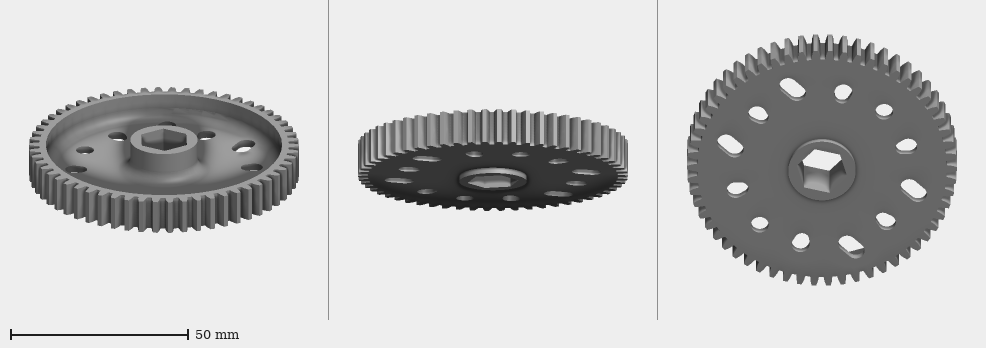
import cadquery as cq
import math

outer_diameter = 76.2
tooth_count = 58
pressure_angle = math.radians(14.5)
dedendum_factor = 1.25
root_fillet = 0.3
flank_steps = 4

module = outer_diameter / (tooth_count + 2)
tip_radius = outer_diameter / 2
pitch_radius = module * tooth_count / 2
base_radius = pitch_radius * math.cos(pressure_angle)
root_radius = pitch_radius - dedendum_factor * module

face_width = 9.5
rim_inner_diameter = 66.7
web_thickness = 2.1
hub_length = 12.65
hub_diameter = 19.05
pocket_fillet = 3.2
hex_across_flats = 12.7

rim_top = face_width / 2
rim_bottom = -rim_top
web_top = rim_bottom + web_thickness

bolt_circle_radius = 25.4
bolt_hole_radius = 2.5
inner_circle_radius = 23.8
inner_hole_radius = 2.05
round_hole_angles = (0, 180)
keyhole_angles = (30, 90, 150, 210, 270, 330)
slot_x = bolt_circle_radius / 2
slot_y_inner = bolt_circle_radius * math.cos(math.asin(slot_x / bolt_circle_radius))
slot_y_outer = bolt_circle_radius
slot_width = 2 * bolt_hole_radius


def polar(radius, angle):
    return (radius * math.cos(angle), radius * math.sin(angle))


def involute(angle):
    """Involute function of a pressure angle."""
    return math.tan(angle) - angle


def half_tooth_angle(radius):
    """Half of the angle that a tooth spans at a radius on its involute flank."""
    half_at_pitch = math.pi / (2 * tooth_count)
    return half_at_pitch + involute(pressure_angle) - involute(math.acos(base_radius / radius))


def gap_profile(gap_angle):
    """Points from tip to tip around one tooth gap: flank, rounded root, opposite flank."""
    pitch_half_angle = math.pi / tooth_count
    base_half_gap = pitch_half_angle - half_tooth_angle(base_radius)

    right_side = []
    for i in range(flank_steps + 1):
        radius = tip_radius + (base_radius - tip_radius) * i / flank_steps
        right_side.append((radius, pitch_half_angle - half_tooth_angle(radius)))

    corner_center_radius = root_radius + root_fillet
    corner_offset = root_fillet * math.sqrt(0.5)
    corner_radius = corner_center_radius - corner_offset
    corner_inset = (root_fillet - corner_offset) / corner_center_radius
    right_side.append((corner_radius, base_half_gap - corner_inset))

    points = [polar(radius, gap_angle - half_gap) for radius, half_gap in right_side]
    points.append(polar(root_radius, gap_angle))
    points += [polar(radius, gap_angle + half_gap) for radius, half_gap in reversed(right_side)]
    return points


def toothed_blank():
    """Solid gear disc with one tooth centred on +Y."""
    pitch_angle = 2 * math.pi / tooth_count
    tip_half_angle = half_tooth_angle(tip_radius)
    first_tooth_angle = math.pi / 2

    outline = cq.Workplane("XY", origin=(0, 0, rim_bottom))
    outline = outline.moveTo(*polar(tip_radius, first_tooth_angle - tip_half_angle))
    for i in range(tooth_count):
        tooth_angle = first_tooth_angle + i * pitch_angle
        gap = gap_profile(tooth_angle + pitch_angle / 2)
        outline = outline.threePointArc(polar(tip_radius, tooth_angle), gap[0])
        outline = outline.spline(gap[1:], includeCurrent=True)
    return outline.close().extrude(face_width)


def pocket():
    """Annular recess between hub and rim, with both floor edges rounded."""
    ring = (
        cq.Workplane("XY", origin=(0, 0, web_top))
        .circle(rim_inner_diameter / 2)
        .circle(hub_diameter / 2)
        .extrude(rim_top - web_top)
    )
    return ring.faces("<Z").edges().fillet(pocket_fillet)


def hub():
    return cq.Workplane("XY").circle(hub_diameter / 2).extrude(hub_length / 2, both=True)


def hex_bore():
    """Hexagon with two of its corners on the X axis."""
    across_corners = hex_across_flats / math.cos(math.pi / 6)
    return cq.Workplane("XY").polygon(6, across_corners).extrude(hub_length, both=True)


def web_plane():
    """Workplane on the underside of the web."""
    return cq.Workplane("XY", origin=(0, 0, rim_bottom))


def round_hole(angle):
    center = polar(bolt_circle_radius, math.radians(angle))
    return web_plane().center(*center).circle(bolt_hole_radius).extrude(face_width)


def keyhole(angle):
    """Bolt hole blended by tangent sides into a smaller hole nearer the axis."""
    spacing = bolt_circle_radius - inner_circle_radius
    tangent_angle = math.acos((bolt_hole_radius - inner_hole_radius) / spacing)

    def outer_point(direction):
        dx, dy = polar(bolt_hole_radius, direction)
        return (bolt_circle_radius + dx, dy)

    def inner_point(direction):
        dx, dy = polar(inner_hole_radius, direction)
        return (inner_circle_radius + dx, dy)

    upper = math.pi - tangent_angle
    return (
        web_plane()
        .moveTo(*outer_point(-upper))
        .threePointArc(outer_point(0), outer_point(upper))
        .lineTo(*inner_point(upper))
        .threePointArc(inner_point(math.pi), inner_point(-upper))
        .close()
        .extrude(face_width)
        .rotate((0, 0, 0), (0, 0, 1), angle)
    )


def slots():
    """Four slots parallel to Y, mirrored about both axes."""
    middle = (slot_y_inner + slot_y_outer) / 2
    length = slot_y_outer - slot_y_inner + slot_width
    centers = [(sx * slot_x, sy * middle) for sx in (-1, 1) for sy in (-1, 1)]
    return web_plane().pushPoints(centers).slot2D(length, slot_width, 90).extrude(face_width)


result = toothed_blank().cut(pocket()).union(hub()).cut(hex_bore()).cut(slots())
for hole_angle in round_hole_angles:
    result = result.cut(round_hole(hole_angle))
for hole_angle in keyhole_angles:
    result = result.cut(keyhole(hole_angle))